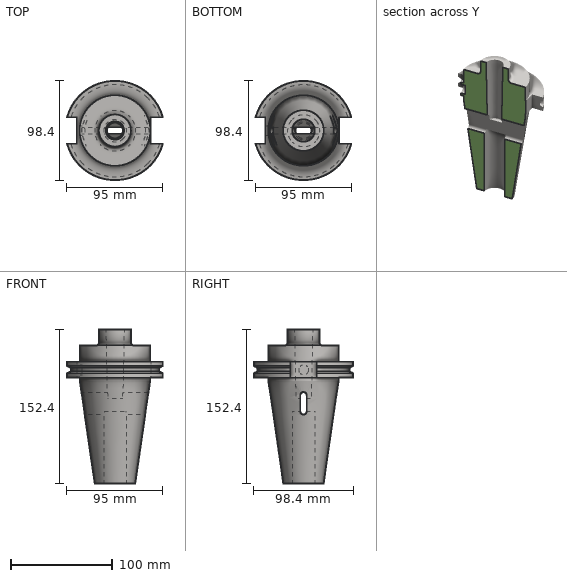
import math

import cadquery as cq


GAUGE_DIAMETER = 69.85
TAPER_RATIO = 7 / 24
SHANK_LENGTH = 101.6

FLANGE_DIAMETER = 98.425
FLANGE_BOTTOM = 3.175
FLANGE_THICKNESS = 15.875
GROOVE_ROOT_DIAMETER = 91.44
GROOVE_ROOT_WIDTH = 3.6
GROOVE_MOUTH_WIDTH = 7.3

SHOULDER_DIAMETER = 69.85
SHOULDER_HEIGHT = 15.875
NOSE_DIAMETER = 31.75
NOSE_HEIGHT = 15.875
NOSE_FILLET = 3.175

NOTCH_WIDTH = 25.9
LEFT_NOTCH_FLOOR = 37.8
RIGHT_NOTCH_FLOOR = 35.3
DIMPLE_DIAMETER = 9.75
DIMPLE_DEPTH = 5.08

SOCKET_MOUTH_DIAMETER = 18.1
SOCKET_END_DIAMETER = 15.4
TANG_SLOT_WIDTH = 6.1
TANG_SLOT_LENGTH = 22.0
TANG_SLOT_TOP = -11.2
SOCKET_END_BELOW_SLOT_TOP = 6.0
DRAWBAR_HOLE_DIAMETER = 22.225

flange_top = FLANGE_BOTTOM + FLANGE_THICKNESS
flange_middle = FLANGE_BOTTOM + FLANGE_THICKNESS / 2
shoulder_top = flange_top + SHOULDER_HEIGHT
nose_top = shoulder_top + NOSE_HEIGHT
tang_slot_middle = TANG_SLOT_TOP - TANG_SLOT_LENGTH / 2
tang_slot_bottom = TANG_SLOT_TOP - TANG_SLOT_LENGTH
socket_end = TANG_SLOT_TOP - SOCKET_END_BELOW_SLOT_TOP


def turned_body():
    """Shank, flange, shoulder and filleted nose as one revolved profile."""
    shank_end_radius = (GAUGE_DIAMETER - TAPER_RATIO * SHANK_LENGTH) / 2
    gauge_radius = GAUGE_DIAMETER / 2
    flange_radius = FLANGE_DIAMETER / 2
    root_radius = GROOVE_ROOT_DIAMETER / 2
    shoulder_radius = SHOULDER_DIAMETER / 2
    nose_radius = NOSE_DIAMETER / 2
    fillet_inset = NOSE_FILLET * (1 - math.sqrt(0.5))
    profile = (
        cq.Workplane("XZ")
        .moveTo(0, -SHANK_LENGTH)
        .lineTo(shank_end_radius, -SHANK_LENGTH)
        .lineTo(gauge_radius, 0)
        .lineTo(gauge_radius, FLANGE_BOTTOM)
        .lineTo(flange_radius, FLANGE_BOTTOM)
        .lineTo(flange_radius, flange_middle - GROOVE_MOUTH_WIDTH / 2)
        .lineTo(root_radius, flange_middle - GROOVE_ROOT_WIDTH / 2)
        .lineTo(root_radius, flange_middle + GROOVE_ROOT_WIDTH / 2)
        .lineTo(flange_radius, flange_middle + GROOVE_MOUTH_WIDTH / 2)
        .lineTo(flange_radius, flange_top)
        .lineTo(shoulder_radius, flange_top)
        .lineTo(shoulder_radius, shoulder_top)
        .lineTo(nose_radius + NOSE_FILLET, shoulder_top)
        .threePointArc(
            (nose_radius + fillet_inset, shoulder_top + fillet_inset),
            (nose_radius, shoulder_top + NOSE_FILLET),
        )
        .lineTo(nose_radius, nose_top)
        .lineTo(0, nose_top)
        .close()
    )
    return profile.revolve(360, (0, 0, 0), (0, 1, 0))


def drive_notch(side, floor_distance):
    """Block that cuts a notch through the flange rim; side is -1 for -X and +1 for +X."""
    depth = FLANGE_DIAMETER / 2 - floor_distance
    return (
        cq.Workplane("XY")
        .box(depth, NOTCH_WIDTH, FLANGE_THICKNESS)
        .translate((side * (floor_distance + depth / 2), 0, flange_middle))
    )


def notch_dimple():
    """Blind flat-bottomed hole in the floor of the -X notch."""
    return (
        cq.Workplane("YZ", origin=(-LEFT_NOTCH_FLOOR, 0, flange_middle))
        .circle(DIMPLE_DIAMETER / 2)
        .extrude(DIMPLE_DEPTH)
    )


def socket():
    """Tapered bore from the nose face, ending inside the tang slot."""
    return (
        cq.Workplane("XY", origin=(0, 0, nose_top))
        .circle(SOCKET_MOUTH_DIAMETER / 2)
        .workplane(offset=socket_end - nose_top)
        .circle(SOCKET_END_DIAMETER / 2)
        .loft(ruled=True)
    )


def tang_slot():
    """Round-ended slot along X, right through the shank."""
    return (
        cq.Workplane("YZ", origin=(0, 0, tang_slot_middle))
        .slot2D(TANG_SLOT_LENGTH, TANG_SLOT_WIDTH, 90)
        .extrude(GAUGE_DIAMETER / 2, both=True)
    )


def drawbar_hole():
    """Hole from the small end of the shank up to the bottom of the tang slot's straight sides."""
    hole_top = tang_slot_bottom + TANG_SLOT_WIDTH / 2
    return (
        cq.Workplane("XY", origin=(0, 0, -SHANK_LENGTH))
        .circle(DRAWBAR_HOLE_DIAMETER / 2)
        .extrude(SHANK_LENGTH + hole_top)
    )


result = (
    turned_body()
    .cut(drive_notch(-1, LEFT_NOTCH_FLOOR))
    .cut(drive_notch(1, RIGHT_NOTCH_FLOOR))
    .cut(notch_dimple())
    .cut(socket())
    .cut(tang_slot())
    .cut(drawbar_hole())
)